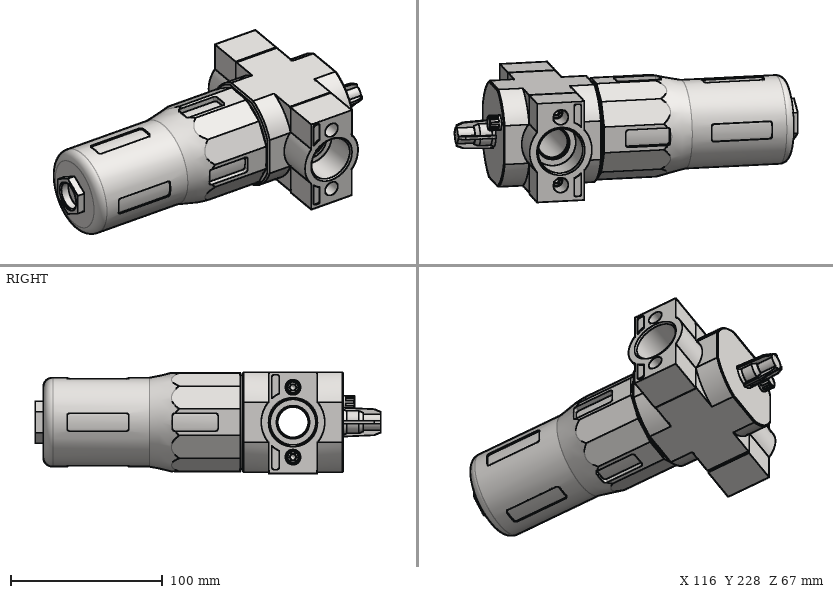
import cadquery as cq
import math


OVERALL_WIDTH = 116.0
OVERALL_LENGTH = 228
HEX_SIDES = 6
QUARTERS = 4
QUARTER_TURN = 360 / QUARTERS

HOUSING_TOP = 33.0
HOUSING_BOTTOM = -33.5
HOUSING_RADIUS = 35.5
HOUSING_HALF_WIDTH = 33.0
HOUSING_TOP_CHAMFER = 0.7
HOUSING_BOTTOM_CHAMFER = 1.1
PORT_BLOCK_CHAMFER = 1.0
PORT_HALF_WIDTH = 16.0
PORT_BORE_DIAMETER = 20.0
PORT_BORE_CHAMFER = 1.0
NECK_RADIUS = 31.0

PLUG_X = -21.0
PLUG_Z = 12.5
PLUG_DIAMETER = 10.0
PLUG_TOP = 40.8
PLUG_CHAMFER = 0.7
FLUTE_COUNT = 9
FLUTE_WIDTH = 1.8
FLUTE_DEPTH = 0.5
FLUTE_BOTTOM = 34.7

FLANGE_END = OVERALL_WIDTH / 2
FLANGE_TOP = HOUSING_HALF_WIDTH
FLANGE_BOTTOM = -34.0
FLANGE_BOSS_RADIUS = 21.0
THREAD_DIAMETER = 30.0
THREAD_CHAMFER = 1.1
THREAD_DEPTH = 22.8
FLANGE_PASSAGE_DIAMETER = PORT_BORE_DIAMETER + 2 * PORT_BORE_CHAMFER
SLOT_NEAR_Y = -9.1
SLOT_FAR_Y = -14.0
SLOT_OUTER_Z = 31.2
SLOT_DEPTH = 0.7
SLOT_CORNER_RADIUS = 1.4

SCREW_Z = 23.0
SCREW_HOLE_DIAMETER = 10.0
SCREW_HOLE_DEPTH = 18.2
SCREW_HEAD_DIAMETER = 8.5
SCREW_HEAD_HEIGHT = 5.0
SCREW_HEAD_CHAMFER = 0.7
SCREW_SHANK_DIAMETER = 5.0
SCREW_ENGAGEMENT = 9.1
SOCKET_FLATS = 4.0
SOCKET_DEPTH = 2.3
SOCKET_POINT_DEPTH = 1.1

BOWL_TOP = -34.9
BOWL_SIDES = 12
BOWL_HALF_FLATS = 32.5
BOWL_DIAMETER = 58.8
TAPER_BOTTOM = -94.8
TAPER_SLOPE = 0.22
BOWL_BOTTOM = -164.8
BOWL_FILLET = 6.2
WINDOW_WIDTH = 11.9
WINDOW_CORNER_RADIUS = 1.8
UPPER_WINDOW = (-79.5, -49.5)
UPPER_WINDOW_FLOOR_DIAMETER = 58.8
LOWER_WINDOW = (-149.0, -108.3)
LOWER_WINDOW_FLOOR_DIAMETER = 56.8
DRAIN_FLATS = 24.2
DRAIN_END = -170.0
DRAIN_BORE_DIAMETER = 18.0
DRAIN_BORE_CHAMFER = 1.0
DRAIN_BORE_DEPTH = 6.4

DOME_TOP = DRAIN_END + OVERALL_LENGTH
DOME_SHOULDER = 46.5
DOME_CONE_BOTTOM = 43.3
DOME_FLARE_TOP = 35.3
DOME_STEM_RADIUS = 5.5
DOME_SHOULDER_RADIUS = 6.2
DOME_CORE_RADIUS = 7.5
DOME_FLARE_RADIUS = 8.5
FIN_THICKNESS = 1.8
FIN_RADIUS = 8.7
FIN_TIP_RADIUS = 6.8
FIN_CHAMFER_BOTTOM = 53.5
FIN_FOOT_RADIUS = 9.5


def plane_at_y(y):
    """Sketch plane square to Y: local x is X, local y is Z, extrusion goes toward -Y."""
    return cq.Workplane("XZ", origin=(0, y, 0))


def plane_at_x(x):
    """Sketch plane square to X: local x is Y, local y is Z, extrusion goes toward +X."""
    return cq.Workplane("YZ", origin=(x, 0, 0))


def turned(profile):
    """Solid of revolution about Y from (radius, y) points."""
    return cq.Workplane("XY").polyline(profile).close().revolve(360, (0, 0, 0), (0, 1, 0))


def mirrored_to_left(body):
    return body.mirror("YZ")


def bore_mouth(diameter, chamfer, face_x):
    """Cone that chamfers the mouth of a bore along X in the face at face_x."""
    start = cq.Vector(face_x - chamfer, 0, 0)
    radius = diameter / 2
    return cq.Workplane(cq.Solid.makeCone(radius, radius + chamfer, chamfer, start, cq.Vector(1, 0, 0)))


def screw_shanks():
    """Two cylinders along X that reach from the head seat into the housing."""
    start = HOUSING_HALF_WIDTH - SCREW_ENGAGEMENT
    length = FLANGE_END - SCREW_HOLE_DEPTH - start
    spots = [(0, SCREW_Z), (0, -SCREW_Z)]
    return plane_at_x(start).pushPoints(spots).circle(SCREW_SHANK_DIAMETER / 2).extrude(length)


def make_plug():
    height = PLUG_TOP - HOUSING_TOP
    plug = plane_at_y(HOUSING_TOP).circle(PLUG_DIAMETER / 2).extrude(-height)
    plug = plug.faces(">Y").chamfer(PLUG_CHAMFER)
    flute = (
        plane_at_y(FLUTE_BOTTOM)
        .center(0, PLUG_DIAMETER / 2)
        .rect(FLUTE_WIDTH, 2 * FLUTE_DEPTH)
        .extrude(FLUTE_BOTTOM - PLUG_TOP)
    )
    pitch = 360 / FLUTE_COUNT
    for index in range(FLUTE_COUNT):
        plug = plug.cut(flute.rotate((0, 0, 0), (0, 1, 0), (index + 0.5) * pitch))
    return plug.translate((PLUG_X, 0, PLUG_Z))


def make_housing():
    height = HOUSING_TOP - HOUSING_BOTTOM
    width = 2 * HOUSING_HALF_WIDTH
    barrel = plane_at_y(HOUSING_TOP).circle(HOUSING_RADIUS).extrude(height)
    barrel = barrel.intersect(plane_at_y(HOUSING_TOP).rect(width, width).extrude(height))
    barrel = barrel.faces(">Y").chamfer(HOUSING_TOP_CHAMFER)
    barrel = barrel.faces("<Y").chamfer(HOUSING_BOTTOM_CHAMFER)
    block = cq.Workplane("XY").box(width, 2 * PORT_HALF_WIDTH, width)
    block = block.edges("|Y").chamfer(PORT_BLOCK_CHAMFER)
    neck = plane_at_y(HOUSING_BOTTOM).circle(NECK_RADIUS).extrude(HOUSING_BOTTOM - BOWL_TOP)
    bore = plane_at_x(-HOUSING_HALF_WIDTH).circle(PORT_BORE_DIAMETER / 2).extrude(width)
    mouth = bore_mouth(PORT_BORE_DIAMETER, PORT_BORE_CHAMFER, HOUSING_HALF_WIDTH)
    shanks = screw_shanks()
    return (
        barrel.union(block)
        .union(neck)
        .union(make_plug())
        .cut(bore)
        .cut(mouth)
        .cut(mirrored_to_left(mouth))
        .cut(shanks)
        .cut(mirrored_to_left(shanks))
    )


def flange_slot():
    """Rounded recess whose inner end follows the boss circle."""
    width = SLOT_NEAR_Y - SLOT_FAR_Y
    slot = (
        plane_at_x(FLANGE_END - SLOT_DEPTH)
        .center((SLOT_NEAR_Y + SLOT_FAR_Y) / 2, SLOT_OUTER_Z / 2)
        .rect(width, SLOT_OUTER_Z)
        .extrude(SLOT_DEPTH)
        .edges("|X")
        .fillet(SLOT_CORNER_RADIUS)
    )
    boss = plane_at_x(FLANGE_END - SLOT_DEPTH).circle(FLANGE_BOSS_RADIUS).extrude(SLOT_DEPTH)
    return slot.cut(boss)


def make_right_flange():
    length = FLANGE_END - HOUSING_HALF_WIDTH
    inner_face = plane_at_x(HOUSING_HALF_WIDTH)
    block = (
        inner_face.center(0, (FLANGE_TOP + FLANGE_BOTTOM) / 2)
        .rect(2 * PORT_HALF_WIDTH, FLANGE_TOP - FLANGE_BOTTOM)
        .extrude(length)
    )
    boss = plane_at_x(HOUSING_HALF_WIDTH).circle(FLANGE_BOSS_RADIUS).extrude(length)
    thread = plane_at_x(FLANGE_END).circle(THREAD_DIAMETER / 2).extrude(-THREAD_DEPTH)
    passage = inner_face.circle(FLANGE_PASSAGE_DIAMETER / 2).extrude(length)
    screw_holes = (
        plane_at_x(FLANGE_END)
        .pushPoints([(0, SCREW_Z), (0, -SCREW_Z)])
        .circle(SCREW_HOLE_DIAMETER / 2)
        .extrude(-SCREW_HOLE_DEPTH)
    )
    flange = block.union(boss).cut(thread).cut(passage)
    mouth = bore_mouth(THREAD_DIAMETER, THREAD_CHAMFER, FLANGE_END)
    flange = flange.cut(mouth).cut(screw_holes).cut(screw_shanks())
    slot = flange_slot()
    return flange.cut(slot).cut(slot.mirror("XY"))


def make_screw(z):
    """Socket head screw on the +X side, with its head sunk in the flange."""
    seat = FLANGE_END - SCREW_HOLE_DEPTH
    head_top = seat + SCREW_HEAD_HEIGHT
    shank_length = seat - HOUSING_HALF_WIDTH + SCREW_ENGAGEMENT
    head = plane_at_x(seat).circle(SCREW_HEAD_DIAMETER / 2).extrude(SCREW_HEAD_HEIGHT)
    head = head.faces(">X").chamfer(SCREW_HEAD_CHAMFER)
    shank = plane_at_x(seat).circle(SCREW_SHANK_DIAMETER / 2).extrude(-shank_length)
    socket_corners = SOCKET_FLATS / math.cos(math.pi / HEX_SIDES)
    socket = plane_at_x(head_top).polygon(HEX_SIDES, socket_corners).extrude(-SOCKET_DEPTH)
    socket_floor = cq.Vector(head_top - SOCKET_DEPTH, 0, 0)
    inward = cq.Vector(-1, 0, 0)
    point = cq.Workplane(
        cq.Solid.makeCone(SOCKET_FLATS / 2, 0, SOCKET_POINT_DEPTH, socket_floor, inward)
    )
    return head.union(shank).cut(socket).cut(point).translate((0, 0, z))


def window_cutter(window, floor_diameter):
    """Rounded window on the +Z side, down to a cylindrical floor."""
    lower, upper = window
    cutter = (
        cq.Workplane("XY")
        .center(0, (lower + upper) / 2)
        .rect(WINDOW_WIDTH, upper - lower)
        .extrude(2 * BOWL_HALF_FLATS)
        .edges("|Z")
        .fillet(WINDOW_CORNER_RADIUS)
    )
    floor = plane_at_y(upper).circle(floor_diameter / 2).extrude(upper - lower)
    return cutter.cut(floor)


def make_drain_hexagon():
    drain_corners = DRAIN_FLATS / math.cos(math.pi / HEX_SIDES)
    return (
        plane_at_y(BOWL_BOTTOM)
        .transformed(rotate=(0, 0, 180 / HEX_SIDES))
        .polygon(HEX_SIDES, drain_corners)
        .extrude(BOWL_BOTTOM - DRAIN_END)
    )


def drain_bore():
    """Blind bore with a chamfered mouth."""
    bore_radius = DRAIN_BORE_DIAMETER / 2
    return turned(
        [
            (0, DRAIN_END),
            (bore_radius + DRAIN_BORE_CHAMFER, DRAIN_END),
            (bore_radius, DRAIN_END + DRAIN_BORE_CHAMFER),
            (bore_radius, DRAIN_END + DRAIN_BORE_DEPTH),
            (0, DRAIN_END + DRAIN_BORE_DEPTH),
        ]
    )


def make_bowl():
    radius = BOWL_DIAMETER / 2
    corner_radius = BOWL_HALF_FLATS / math.cos(math.pi / BOWL_SIDES)
    taper_top = TAPER_BOTTOM + (corner_radius - radius) / TAPER_SLOPE
    envelope = turned(
        [
            (0, BOWL_TOP),
            (corner_radius, BOWL_TOP),
            (corner_radius, taper_top),
            (radius, TAPER_BOTTOM),
            (radius, BOWL_BOTTOM),
            (0, BOWL_BOTTOM),
        ]
    )
    envelope = envelope.faces("<Y").edges().fillet(BOWL_FILLET)
    prism = (
        plane_at_y(BOWL_TOP)
        .transformed(rotate=(0, 0, 180 / BOWL_SIDES))
        .polygon(BOWL_SIDES, 2 * corner_radius)
        .extrude(BOWL_TOP - BOWL_BOTTOM)
    )
    bowl = envelope.intersect(prism)
    bowl = bowl.union(make_drain_hexagon()).cut(drain_bore())

    upper_window = window_cutter(UPPER_WINDOW, UPPER_WINDOW_FLOOR_DIAMETER)
    lower_window = window_cutter(LOWER_WINDOW, LOWER_WINDOW_FLOOR_DIAMETER)
    for quarter in range(QUARTERS):
        for window in (upper_window, lower_window):
            bowl = bowl.cut(window.rotate((0, 0, 0), (0, 1, 0), QUARTER_TURN * quarter))
    return bowl


def make_dome():
    core = turned(
        [
            (0, HOUSING_TOP),
            (DOME_FLARE_RADIUS, HOUSING_TOP),
            (DOME_CORE_RADIUS, DOME_FLARE_TOP),
            (DOME_CORE_RADIUS, DOME_CONE_BOTTOM),
            (DOME_SHOULDER_RADIUS, DOME_SHOULDER),
            (DOME_STEM_RADIUS, DOME_SHOULDER),
            (DOME_STEM_RADIUS, DOME_TOP),
            (0, DOME_TOP),
        ]
    )
    half_fin = [
        (0, HOUSING_TOP),
        (FIN_FOOT_RADIUS, HOUSING_TOP),
        (FIN_RADIUS, FIN_CHAMFER_BOTTOM),
        (FIN_TIP_RADIUS, DOME_TOP),
        (0, DOME_TOP),
    ]
    fin = cq.Workplane("XY").polyline(half_fin).close().extrude(FIN_THICKNESS / 2, both=True)
    dome = core
    for quarter in range(QUARTERS):
        dome = dome.union(fin.rotate((0, 0, 0), (0, 1, 0), QUARTER_TURN * quarter))
    return dome


housing = make_housing()
right_flange = make_right_flange()
flanges = [right_flange, mirrored_to_left(right_flange)]
screws = []
for screw_z in (SCREW_Z, -SCREW_Z):
    right_screw = make_screw(screw_z)
    screws += [right_screw, mirrored_to_left(right_screw)]
bowl = make_bowl()
dome = make_dome()

bodies = [housing, *flanges, *screws, bowl, dome]
result = cq.Compound.makeCompound([body.val() for body in bodies])